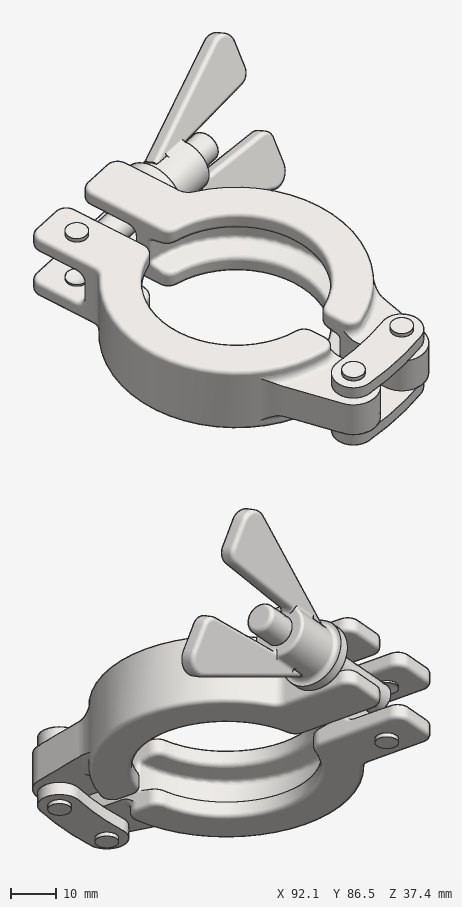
import cadquery as cq
import math

edge_radius = 1.0
corner_radius = 3.0
gap_half = 2.9

ring_radius = 30.4
bore_radius = 21.0
half_height = 8.6
lug_blend_radius = 3.2

groove_floor_radius = 26.3
groove_mouth_half = 4.5
groove_floor_half = 3.4
groove_floor_fillet = 1.0

lug_end_x = -45.5
lug_top_y = 16.0
slot_half = 4.7
slot_end_x = -30.3
slot_corner_radius = 2.0

hinge_x = 39.1
knuckle_radius = 6.0
knuckle_half = 4.5
knuckle_blend_radius = 2.0
web_blend_radius = 11.0
web_start_x = 26.6
web_angle = 14.0
link_inner_z = 5.5
link_end_radius = 4.9
link_bow = 0.55
pin_radius = 5.2 / 2
pin_half_length = 9.65

bolt_x = -37.0
bolt_radius = 7.2 / 2
bolt_end_y = 38.6
bolt_end_radius = 1.0
collar_radius = 16.0 / 2
collar_height = 2.85
hub_radius = 13.0 / 2
hub_end_y = 31.2
hub_foot_radius = 1.0
hub_end_radius = 0.7
collar_edge_radius = 0.6
ball_radius = 5.0
wing_angle = 25.0
wing_thickness = 4.0
wing_edge_radius = 1.0
wing_root_y = 21.1
wing_root_reach = 6.7
wing_tip_y = 56.1
wing_tip_reach = 22.2
wing_inner_root = 5.1
wing_inner_tip = 6.5
wing_outer_corner = 4.0
wing_inner_corner = 3.0
wing_joint_y = 24.6

pick_margin = 0.1

hinge_y = gap_half + knuckle_radius
lug_pin_y = -(gap_half + lug_top_y) / 2
corner_y = gap_half + corner_radius
ring_corner_x = math.sqrt((ring_radius - corner_radius) ** 2 - corner_y ** 2)


def polar(radius, angle):
    """Point at an angle in radians from +X."""
    return (radius * math.cos(angle), radius * math.sin(angle))


def x_on_circle(radius, y):
    """Positive X at height y on a circle about the ring axis."""
    return math.sqrt(radius ** 2 - y ** 2)


def round_upright_edge(body, x, y, radius):
    """Round the edge parallel to Z that stands at (x, y)."""
    box = cq.selectors.BoxSelector(
        (x - pick_margin, y - pick_margin, -half_height),
        (x + pick_margin, y + pick_margin, 2 * half_height))
    return body.edges("|Z").edges(box).fillet(radius)


def along_y(start_y):
    """Workplane across the Y axis, centred on the bolt, extruding towards +Y."""
    return cq.Workplane(cq.Plane((bolt_x, start_y, 0), xDir=(1, 0, 0), normal=(0, 1, 0)))


def half_blank():
    """Ring half with its lug, rounded at the plan corners and the top and bottom edges."""
    height = 2 * half_height
    ring = cq.Workplane("XY").circle(ring_radius).extrude(height)
    lug = cq.Workplane("XY").rect(-lug_end_x, lug_top_y, centered=False).extrude(height)
    lug = lug.translate((lug_end_x, 0, 0))
    bore = cq.Workplane("XY").circle(bore_radius).extrude(height)
    span = 2 * ring_radius
    keep = cq.Workplane("XY").rect(2 * span, span).extrude(height).translate((0, gap_half + span / 2, 0))
    blank = ring.union(lug).cut(bore).intersect(keep)

    blank = round_upright_edge(blank, -x_on_circle(ring_radius, lug_top_y), lug_top_y, lug_blend_radius)
    bore_end_x = x_on_circle(bore_radius, gap_half)
    ring_end_x = x_on_circle(ring_radius, gap_half)
    corners = [(lug_end_x, gap_half), (lug_end_x, lug_top_y),
               (-bore_end_x, gap_half), (bore_end_x, gap_half), (ring_end_x, gap_half)]
    for x, y in corners:
        blank = round_upright_edge(blank, x, y, corner_radius)
    return blank.faces("<Z or >Z").edges().fillet(edge_radius).translate((0, 0, -half_height))


def knuckle_outline():
    """Plan wire of the hinge knuckle and the web that blends it into the ring."""
    slope = math.radians(90 - web_angle)
    normal = polar(1, slope)
    side_distance = hinge_x * normal[0] + hinge_y * normal[1] + knuckle_radius
    centre_distance = ring_radius + web_blend_radius
    centre_angle = slope - math.acos((side_distance + web_blend_radius) / centre_distance)
    centre = polar(centre_distance, centre_angle)
    ring_touch = polar(ring_radius, centre_angle)
    side_touch = (centre[0] - web_blend_radius * normal[0], centre[1] - web_blend_radius * normal[1])
    middle_angle = (centre_angle + slope) / 2 + math.pi
    blend_middle = (centre[0] + web_blend_radius * math.cos(middle_angle),
                    centre[1] + web_blend_radius * math.sin(middle_angle))
    knuckle_touch = (hinge_x + knuckle_radius * normal[0], hinge_y + knuckle_radius * normal[1])
    return (cq.Workplane("XY").moveTo(web_start_x, gap_half).lineTo(hinge_x, gap_half)
            .threePointArc((hinge_x + knuckle_radius, hinge_y), knuckle_touch)
            .lineTo(*side_touch).threePointArc(blend_middle, ring_touch).close())


def knuckle_blend(wall_radius, start, end):
    """Concave blend ring on both knuckle faces, turned about Z between two angles in degrees."""
    r = knuckle_blend_radius
    overlap = 0.9
    middle = r * (1 - math.sqrt(0.5))
    upper = (cq.Workplane("XZ").moveTo(wall_radius - overlap, knuckle_half)
             .lineTo(wall_radius + r, knuckle_half)
             .threePointArc((wall_radius + middle, knuckle_half + middle), (wall_radius, knuckle_half + r))
             .lineTo(wall_radius - overlap, knuckle_half + r).close()
             .revolve(end - start, (0, 0), (0, 1))
             .rotate((0, 0, 0), (0, 0, 1), start))
    return upper.union(upper.mirror("XY"))


def knuckle():
    """Hinge knuckle with its web and the blends up the outside of the ring."""
    body = knuckle_outline().extrude(knuckle_half, both=True)
    envelope = knuckle_outline().extrude(half_height, both=True)
    corner_angle = math.degrees(math.atan2(corner_y, ring_corner_x))
    ring_blend = knuckle_blend(ring_radius, corner_angle, 90)
    corner_blend = knuckle_blend(corner_radius, -90, corner_angle).translate((ring_corner_x, corner_y, 0))
    return body.union(ring_blend.intersect(envelope)).union(corner_blend.intersect(envelope))


def groove():
    """V groove turned about Z, with rounded corners at its floor."""
    taper = (groove_mouth_half - groove_floor_half) / (groove_floor_radius - bore_radius)
    inner_radius = bore_radius - corner_radius
    inner_half = groove_floor_half + taper * (groove_floor_radius - inner_radius)
    body = (cq.Workplane("XZ")
            .polyline([(inner_radius, -inner_half), (groove_floor_radius, -groove_floor_half),
                       (groove_floor_radius, groove_floor_half), (inner_radius, inner_half)])
            .close().revolve(360, (0, 0), (0, 1)))
    floor_edges = cq.selectors.RadiusNthSelector(-1)
    return body.edges("%CIRCLE").edges(floor_edges).fillet(groove_floor_fillet)


def lug_slot():
    """Slot that forks the lug, with rounded inner corners."""
    length = 2 * (slot_end_x - lug_end_x)
    depth = 4 * lug_top_y
    return (cq.Workplane("XY").box(length, depth, 2 * slot_half)
            .translate((slot_end_x - length / 2, 0, 0))
            .edges("|Y and >X").fillet(slot_corner_radius))


def clamp_half():
    """The +Y half with its knuckle, groove and slot, and rounded groove and slot mouths."""
    half = half_blank().union(knuckle()).cut(groove()).cut(lug_slot())
    slot_mouth = cq.selectors.NearestToPointSelector((slot_end_x, gap_half, 0))
    half = half.edges(slot_mouth).fillet(edge_radius)
    floor_end_x = x_on_circle(groove_floor_radius, gap_half)
    groove_mouth = cq.selectors.NearestToPointSelector((floor_end_x, gap_half, 0))
    return half.edges(groove_mouth).fillet(edge_radius)


def link():
    """Upper hinge link: a round-ended strap that bows outwards."""
    bow_radius = (hinge_y ** 2 + link_bow ** 2) / (2 * link_bow)
    bow_centre_x = hinge_x + link_bow - bow_radius
    half_angle = math.atan2(hinge_y, hinge_x - bow_centre_x)

    def place(radius, angle):
        x, y = polar(radius, angle)
        return (bow_centre_x + x, y)

    outer = bow_radius + link_end_radius
    inner = bow_radius - link_end_radius
    end_angle = half_angle + link_end_radius / bow_radius
    return (cq.Workplane("XY").workplane(offset=link_inner_z)
            .moveTo(*place(outer, -half_angle))
            .threePointArc(place(outer, 0), place(outer, half_angle))
            .threePointArc(place(bow_radius, end_angle), place(inner, half_angle))
            .threePointArc(place(inner, 0), place(inner, -half_angle))
            .threePointArc(place(bow_radius, -end_angle), place(outer, -half_angle))
            .close().extrude(half_height - link_inner_z))


def pin(x, y):
    """Pin parallel to Z, standing out equally above and below."""
    return cq.Workplane("XY").center(x, y).circle(pin_radius).extrude(pin_half_length, both=True)


def ball_clearance():
    """Ball that hollows the bolt's end and the facing ends of the lug pin stubs."""
    return cq.Workplane("XY").sphere(ball_radius).translate((bolt_x, lug_pin_y, 0))


def build_clamp():
    """Both halves joined by the hinge links and pins, plus the pin stubs in the lower lug."""
    half = clamp_half()
    strap = link()
    clamp = half.union(half.mirror("XZ")).union(strap).union(strap.mirror("XY"))
    for y in (-hinge_y, hinge_y):
        clamp = clamp.union(pin(hinge_x, y))
    return clamp.union(pin(bolt_x, lug_pin_y)).cut(ball_clearance())


def bolt():
    """Shank with a rounded far end and a hollow near end."""
    length = bolt_end_y - lug_pin_y
    shank = along_y(lug_pin_y).circle(bolt_radius).extrude(length)
    return shank.faces(">Y").edges().fillet(bolt_end_radius).cut(ball_clearance())


def wing():
    """One wing standing towards +Z, centred on the bolt axis plane."""
    plane = cq.Plane((bolt_x, 0, 0), xDir=(0, 1, 0), normal=(1, 0, 0))
    blade = (cq.Workplane(plane)
             .polyline([(wing_root_y, 0), (wing_root_y, wing_root_reach), (wing_tip_y, wing_tip_reach),
                        (wing_tip_y, wing_inner_tip), (hub_end_y, wing_inner_root), (hub_end_y, 0)])
             .close().extrude(wing_thickness / 2, both=True))
    blade = blade.edges("|X").edges(">Y").edges(">Z").fillet(wing_outer_corner)
    blade = blade.edges("|X").edges(">Y").edges("<Z").fillet(wing_inner_corner)
    crotch = cq.selectors.NearestToPointSelector((bolt_x, hub_end_y, wing_inner_root))
    blade = blade.edges("|X").edges(crotch).fillet(wing_edge_radius)
    for side in (-1, 1):
        face_x = bolt_x + side * wing_thickness / 2
        tip_edge = cq.selectors.NearestToPointSelector(
            (face_x, wing_tip_y, (wing_inner_tip + wing_tip_reach) / 2))
        blade = blade.edges(tip_edge).fillet(wing_edge_radius)
    return blade


def hub_and_collar():
    """Stepped nut body, rounded at the foot of the hub and under the collar."""
    collar_top_y = lug_top_y + collar_height
    hub = along_y(lug_top_y).circle(hub_radius).extrude(hub_end_y - lug_top_y)
    body = hub.union(along_y(lug_top_y).circle(collar_radius).extrude(collar_height))
    near_foot = cq.selectors.BoxSelector(
        (bolt_x - hub_radius, collar_top_y - pick_margin, -hub_radius),
        (bolt_x + hub_radius, collar_top_y + pick_margin, hub_radius))
    foot = body.edges("%CIRCLE").edges(near_foot).edges(cq.selectors.RadiusNthSelector(0))
    return foot.fillet(hub_foot_radius).faces("<Y").edges().fillet(collar_edge_radius)


def wing_joint():
    """Concave blends between the hub and both faces of the wing towards +Z."""
    r = wing_edge_radius
    half = wing_thickness / 2
    centre_x = half + r
    centre_z = math.sqrt((hub_radius + r) ** 2 - centre_x ** 2)
    hub_share = hub_radius / (hub_radius + r)
    hub_touch = (centre_x * hub_share, centre_z * hub_share)
    middle_angle = (math.atan2(-centre_z, -centre_x) - math.pi) / 2
    middle = (centre_x + r * math.cos(middle_angle), centre_z + r * math.sin(middle_angle))
    plane = cq.Plane((bolt_x, hub_end_y, 0), xDir=(1, 0, 0), normal=(0, -1, 0))
    return (cq.Workplane(plane).moveTo(-half, centre_z)
            .threePointArc((-middle[0], middle[1]), (-hub_touch[0], hub_touch[1]))
            .lineTo(*hub_touch).threePointArc(middle, (half, centre_z)).close()
            .extrude(hub_end_y - wing_joint_y))


def build_wing_bolt():
    """Nut with two opposite wings, made in one piece with its bolt."""
    body = hub_and_collar()
    axis_end = (bolt_x, 1, 0)
    turns = (-wing_angle, 180 - wing_angle)
    for turn in turns:
        body = body.union(wing_joint().rotate((bolt_x, 0, 0), axis_end, turn))
    hub_rim = cq.selectors.RadiusNthSelector(-1)
    body = body.faces(">Y").edges("%CIRCLE").edges(hub_rim).fillet(hub_end_radius)
    for turn in turns:
        body = body.union(wing().rotate((bolt_x, 0, 0), axis_end, turn))
    return body.union(bolt())


clamp = build_clamp()
wing_bolt = build_wing_bolt()
result = cq.Compound.makeCompound([clamp.val(), wing_bolt.val()])